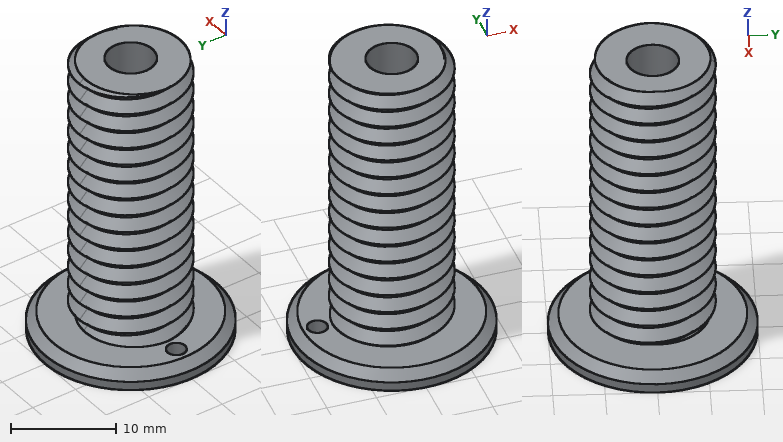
import cadquery as cq

total_height = 32.0
flange_diameter = 20.0
flange_thickness = total_height / 16
flange_chamfer = flange_thickness / 2

crest_radius = flange_diameter * 0.3
pitch = flange_thickness
root_radius = crest_radius - pitch / 2
thread_length = total_height - flange_thickness
thread_turns = round(thread_length / pitch)
overrun_turns = 2

bore_radius = flange_diameter / 8
coil_inner_radius = bore_radius / 2
pin_hole_radius = 1.0
pin_hole_offset = 7.5


def make_flange():
    """Disc with a chamfered upper rim, the bore, and a small hole beside the thread."""
    ring = cq.Workplane("XY").circle(flange_diameter / 2).circle(bore_radius)
    disc = ring.extrude(flange_thickness)
    disc = disc.faces(">Z").edges(cq.selectors.RadiusNthSelector(-1)).chamfer(flange_chamfer)
    pin_hole_center = cq.Workplane("XY").center(-pin_hole_offset, 0)
    pin_hole = pin_hole_center.circle(pin_hole_radius).extrude(flange_thickness)
    return disc.cut(pin_hole)


def helix_turn(radius, start_height):
    """One right-hand turn, starting and ending over the +X axis."""
    return cq.Wire.makeHelix(pitch, pitch, radius, cq.Vector(0, 0, start_height))


def ruled_faces(first, second):
    return cq.Face.makeRuledSurface(first, second).Faces()


def end_section(start_height):
    """Radial section of one turn, from the inner wall out to the crest."""
    middle = start_height + pitch / 2
    top = start_height + pitch
    corners = [
        (coil_inner_radius, 0, start_height),
        (root_radius, 0, start_height),
        (crest_radius, 0, middle),
        (root_radius, 0, top),
        (coil_inner_radius, 0, top),
    ]
    points = [cq.Vector(*corner) for corner in corners]
    return cq.Face.makeFromWires(cq.Wire.makePolygon(points, close=True))


def make_coil():
    """Hollow threaded coil whose touching turns are one solid, closed by helical ramps at both ends."""
    turns = thread_turns + 2 * overrun_turns
    bottom = flange_thickness + pitch / 4 - overrun_turns * pitch
    heights = [bottom + turn * pitch for turn in range(turns + 1)]
    inner_turns = [helix_turn(coil_inner_radius, height) for height in heights]
    root_turns = [helix_turn(root_radius, height) for height in heights]
    crest_turns = [helix_turn(crest_radius, height + pitch / 2) for height in heights[:-1]]

    faces = [end_section(heights[0]), end_section(heights[-1])]
    for end in (0, -1):
        faces += ruled_faces(inner_turns[end], root_turns[end])
    for turn in range(turns):
        faces += ruled_faces(root_turns[turn], crest_turns[turn])
        faces += ruled_faces(crest_turns[turn], root_turns[turn + 1])
        faces += ruled_faces(inner_turns[turn], inner_turns[turn + 1])
    coil = cq.Workplane(cq.Solid.makeSolid(cq.Shell.makeShell(faces)))
    return coil.rotate((0, 0, 0), (0, 0, 1), 90)


def make_threaded_shank():
    """Coil trimmed to the bore, the top of the flange and the top of the part."""
    envelope = (
        cq.Workplane("XY")
        .workplane(offset=flange_thickness)
        .circle(flange_diameter / 2)
        .circle(bore_radius)
        .extrude(thread_length)
    )
    return make_coil().intersect(envelope)


result = make_flange().union(make_threaded_shank())